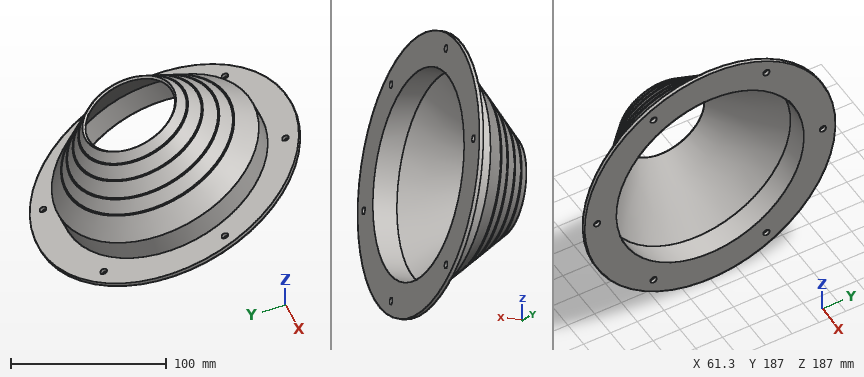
import cadquery as cq
import math

total_length = 61.3
flange_radius = 93.5
flange_thickness = 2.8
body_radius = 72.0
collar_length = 15.0
tip_radius = 32.5
wall = 2.0

groove_radii = (38.0, 45.0, 53.0, 60.0)
groove_width = 1.0
groove_depth = 0.5

hole_count = 6
hole_diameter = 4.5
hole_circle_radius = 84.2

flange_front = -flange_thickness
cone_base = flange_front - collar_length
tip = -total_length
cone_angle = math.atan2(body_radius - tip_radius, cone_base - tip)
along = (math.cos(cone_angle), math.sin(cone_angle))
inward = (math.sin(cone_angle), -math.cos(cone_angle))


def cone_point(radius, distance_along, depth):
    """Return (x, r) measured from the point of the cone surface at this radius."""
    x = tip + (radius - tip_radius) / math.tan(cone_angle)
    return (
        x + distance_along * along[0] + depth * inward[0],
        radius + distance_along * along[1] + depth * inward[1],
    )


def revolve_about_x(points):
    return cq.Workplane("XZ").polyline(points).close().revolve(360, (0, 0), (1, 0))


def make_shell():
    """Flange, collar and cone of even wall, with the tip cut square to the cone wall."""
    bore_radius = body_radius - wall
    inner_cone_base = cone_base + wall * math.tan(cone_angle / 2)
    return revolve_about_x([
        (0, bore_radius),
        (0, flange_radius),
        (flange_front, flange_radius),
        (flange_front, body_radius),
        (cone_base, body_radius),
        (tip, tip_radius),
        cone_point(tip_radius, 0, wall),
        (inner_cone_base, bore_radius),
    ])


def make_groove(radius):
    """Ring that cuts a rectangular groove square to the cone surface."""
    half_width = groove_width / 2
    return revolve_about_x([
        cone_point(radius, -half_width, -groove_depth),
        cone_point(radius, half_width, -groove_depth),
        cone_point(radius, half_width, groove_depth),
        cone_point(radius, -half_width, groove_depth),
    ])


def make_screw_holes():
    return (
        cq.Workplane("YZ", origin=(flange_front, 0, 0))
        .polarArray(hole_circle_radius, 0, 360, hole_count)
        .circle(hole_diameter / 2)
        .extrude(flange_thickness)
    )


result = make_shell()
for groove_radius in groove_radii:
    result = result.cut(make_groove(groove_radius))
result = result.cut(make_screw_holes())